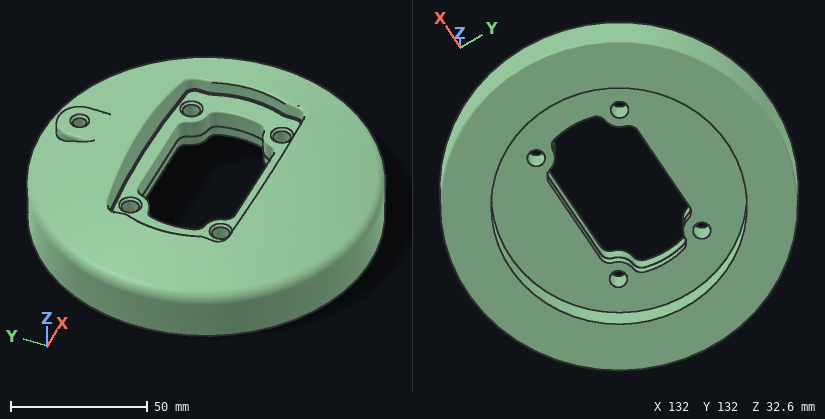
import cadquery as cq
import math

body_radius = 66.0
base_radius = 65.7
dome_radius = 147.8
shoulder_radius = 5.1
shoulder_start = 16.4
base_round = 0.8

cavity_radius = 93.9 / 2
cavity_depth = 11.1

pocket_floor = 22.8
ledge_width = 0.5
ledge_height = 0.5
pocket_side_radius = 41.3
pocket_shoulder_x = 38.5
pocket_corner_y = 23.1
pocket_middle_y = 25.3
pocket_draft = 7.0
pocket_corner_round = 4.0
pocket_rim_round = 0.9

window_half_width = 19.1
window_side_radius = 32.0
window_corner_round = 4.0
window_split = 15.3
window_lower_relief = 0.1
window_rim_round = 0.7

screw_x = 28.4
screw_y = 18.1
screw_diameter = 6.5
screw_mouth_diameter = 8.3
screw_clearance_radius = 7.0

lug_y = 50.5
lug_radius = 8.6
lug_top = 29.0
lug_top_round = 1.5
lug_front_overlap = 1.3
lug_hole_diameter = 5.0
lug_mouth_diameter = 7.0
lug_hole_depth = 10.0

rim_box_half_x = 44.9
rim_box_half_y = 29.0
rim_box_lift = 2.6
window_box_half_x = 34.3
window_box_half_y = 21.1
box_margin = 0.1

screw_points = [(x, y) for x in (-screw_x, screw_x) for y in (-screw_y, screw_y)]
shoulder_center_x = body_radius - shoulder_radius
dome_center_z = shoulder_start - math.sqrt((dome_radius - shoulder_radius) ** 2 - shoulder_center_x ** 2)
dome_apex = dome_center_z + dome_radius
pocket_ledge = pocket_floor + ledge_height
pocket_height = dome_apex - pocket_ledge


def dome_height(distance):
    """Height of the dome surface at a distance from the body axis."""
    return dome_center_z + math.sqrt(dome_radius ** 2 - distance ** 2)


def make_body():
    """Turned blank: drafted wall, shoulder round and spherical dome."""
    reach = dome_radius / (dome_radius - shoulder_radius)
    tangent_x = shoulder_center_x * reach
    tangent_z = dome_height(tangent_x)
    middle_angle = math.atan2(tangent_z - shoulder_start, tangent_x - shoulder_center_x) / 2
    shoulder_middle = (
        shoulder_center_x + shoulder_radius * math.cos(middle_angle),
        shoulder_start + shoulder_radius * math.sin(middle_angle),
    )
    dome_middle_x = tangent_x / 2
    profile = (
        cq.Workplane("XZ")
        .lineTo(base_radius, 0)
        .lineTo(body_radius, shoulder_start)
        .threePointArc(shoulder_middle, (tangent_x, tangent_z))
        .threePointArc((dome_middle_x, dome_height(dome_middle_x)), (0, dome_apex))
        .close()
    )
    return profile.revolve(360, (0, 0, 0), (0, 1, 0)).faces("<Z").edges().fillet(base_round)


def add_lug(body):
    """Round-backed lug with a level top that runs into the dome."""
    lug_bottom = shoulder_start
    lug_front = math.sqrt(dome_radius ** 2 - (lug_top - dome_center_z) ** 2) - lug_front_overlap
    lug = (
        cq.Workplane("XY", origin=(0, 0, lug_bottom))
        .moveTo(-lug_radius, lug_front)
        .lineTo(lug_radius, lug_front)
        .lineTo(lug_radius, lug_y)
        .threePointArc((0, lug_y + lug_radius), (-lug_radius, lug_y))
        .close()
        .extrude(lug_top - lug_bottom)
        .faces(">Z")
        .edges("not <Y")
        .fillet(lug_top_round)
    )
    return body.union(lug)


def pocket_prism(bottom, height, inset):
    """Upright prism with bowed long sides and bulging ends, all moved in by an inset."""
    side_x = pocket_side_radius - inset
    shoulder_x = pocket_shoulder_x - inset
    middle_y = pocket_middle_y - inset
    corner_y = pocket_corner_y - inset
    bulge_y = math.sqrt(side_x ** 2 - shoulder_x ** 2)
    outline = (
        cq.Workplane("XY", origin=(0, 0, bottom))
        .moveTo(shoulder_x, bulge_y)
        .lineTo(shoulder_x, corner_y)
        .threePointArc((0, middle_y), (-shoulder_x, corner_y))
        .lineTo(-shoulder_x, bulge_y)
        .threePointArc((-side_x, 0), (-shoulder_x, -bulge_y))
        .lineTo(-shoulder_x, -corner_y)
        .threePointArc((0, -middle_y), (shoulder_x, -corner_y))
        .lineTo(shoulder_x, -bulge_y)
        .threePointArc((side_x, 0), (shoulder_x, bulge_y))
        .close()
    )
    return outline.extrude(height).edges("|Z").fillet(pocket_corner_round - inset)


def make_pocket():
    """Pocket tool: drafted wall down to a narrow ledge, then a small step down to the floor."""
    ledge_outline = pocket_prism(pocket_ledge, pocket_height, 0).faces("<Z").wires().toPending()
    drafted = ledge_outline.extrude(pocket_height, combine=False, taper=-pocket_draft)
    return drafted.union(pocket_prism(pocket_floor, ledge_height, ledge_width))


def window_prism(bottom, top, relief):
    """Flat long sides, bulging ends and corners scalloped around the screw holes, all moved out by a relief."""
    base = cq.Workplane("XY", origin=(0, 0, bottom))
    height = top - bottom
    disc = base.circle(window_side_radius + relief).extrude(height)
    strip = base.rect(2 * body_radius, 2 * (window_half_width + relief)).extrude(height)
    scallops = base.pushPoints(screw_points).circle(screw_clearance_radius - relief).extrude(height)
    return disc.intersect(strip).cut(scallops).edges("|Z").fillet(window_corner_round)


def make_window():
    """Window tool, slightly wider below the split."""
    upper = window_prism(window_split, pocket_floor, 0)
    return upper.union(window_prism(cavity_depth, window_split, window_lower_relief))


def edges_in_box(body, low, high, half_x, half_y):
    """Edges lying wholly inside a box about the body axis."""
    box = cq.selectors.BoxSelector((-half_x, -half_y, low), (half_x, half_y, high), boundingbox=True)
    return body.edges(box)


def mouthed_hole(x, y, top, depth, diameter, mouth_diameter):
    """Hole tool with a 45 degree mouth."""
    mouth_depth = (mouth_diameter - diameter) / 2
    profile = (
        cq.Workplane("XZ", origin=(x, y, 0))
        .moveTo(0, top)
        .lineTo(mouth_diameter / 2, top)
        .lineTo(diameter / 2, top - mouth_depth)
        .lineTo(diameter / 2, top - depth)
        .lineTo(0, top - depth)
        .close()
    )
    return profile.revolve(360, (0, 0, 0), (0, 1, 0))


body = add_lug(make_body())
body = body.cut(make_pocket())
body = body.cut(cq.Workplane("XY").circle(cavity_radius).extrude(cavity_depth))
pocket_rim = edges_in_box(body, pocket_floor + rim_box_lift, dome_apex, rim_box_half_x, rim_box_half_y)
body = pocket_rim.fillet(pocket_rim_round)

body = body.cut(make_window())
window_rim = edges_in_box(
    body, pocket_floor - box_margin, pocket_floor + box_margin, window_box_half_x, window_box_half_y
)
body = window_rim.fillet(window_rim_round)

for x, y in screw_points:
    body = body.cut(mouthed_hole(x, y, pocket_floor, pocket_floor, screw_diameter, screw_mouth_diameter))
body = body.cut(mouthed_hole(0, lug_y, lug_top, lug_hole_depth, lug_hole_diameter, lug_mouth_diameter))

result = body